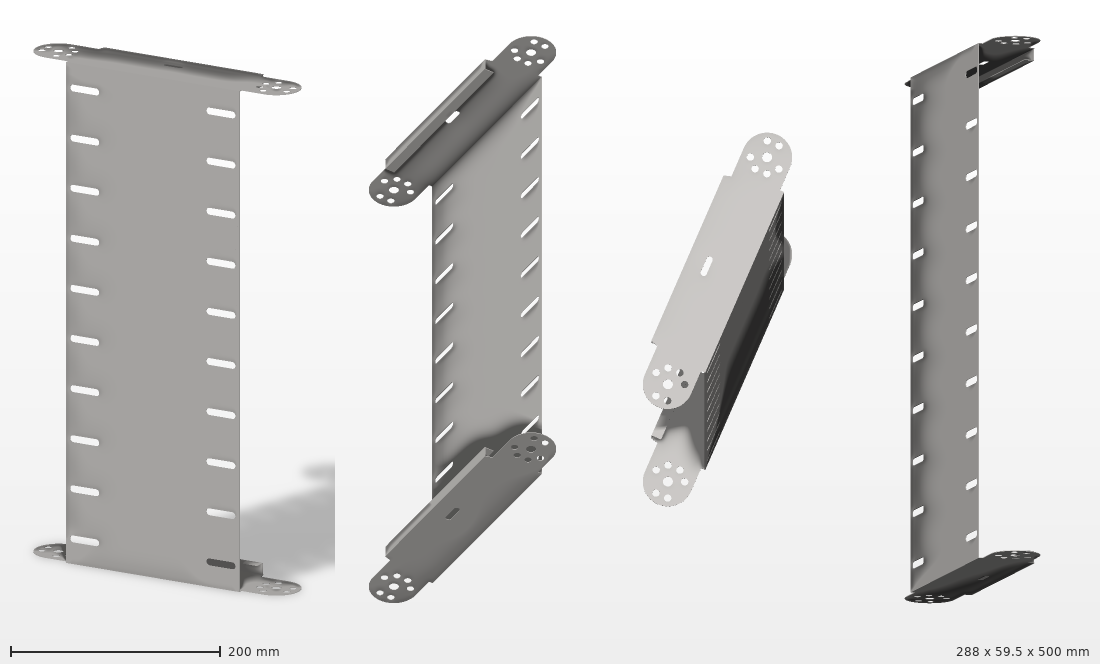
import cadquery as cq
import math

length_x = 288.0
depth = 59.5
height = 500.0
thickness = 0.6

plate_width = 191.0
slot_rows = 10
slot_pitch = height / slot_rows
slot_length = 32.0
slot_width = 7.0
slot_offset = 75.0

ear_radius = 24.0
ear_center_x = length_x / 2 - ear_radius
ear_inset = 4.25
ear_center_y = ear_inset + ear_radius
pivot_diameter = 9.5
small_diameter = 7.0
bolt_circle_radius = 16.0
hole_angles = (22.5, 67.5, 157.5)
center_slot_length = 20.0
center_slot_width = 6.0
center_slot_y = 39.5

tongue_base_width = 179.0
tongue_tip_width = 175.0
lip_width = 174.0
lip_height = 12.0
lip_return = 10.0


def block(width, y_min, y_max, z_min, z_max):
    """Box centred on X between the given Y and Z limits."""
    size_y = y_max - y_min
    size_z = z_max - z_min
    return (
        cq.Workplane("XY")
        .box(width, size_y, size_z, centered=(True, False, False))
        .translate((0, y_min, z_min))
    )


def make_plate():
    """Upright plate on the Y = 0 face with a column of slots near each side."""
    slot_points = [
        (side * slot_offset, (row + 0.5) * slot_pitch)
        for side in (-1, 1)
        for row in range(slot_rows)
    ]
    slots = (
        cq.Workplane("XZ")
        .pushPoints(slot_points)
        .slot2D(slot_length, slot_width)
        .extrude(-thickness)
    )
    return block(plate_width, 0, thickness, 0, height).cut(slots)


def ear_hole_points():
    """Small hole centres around both pivots, mirrored left to right."""
    points = []
    for side in (-1, 1):
        for angle in hole_angles:
            along = bolt_circle_radius * math.cos(math.radians(angle))
            across = bolt_circle_radius * math.sin(math.radians(angle))
            for sign in (-1, 1):
                points.append((side * (ear_center_x - along), ear_center_y + sign * across))
    return points


def make_tongue():
    """Part of the flange beyond the ears, narrowing slightly toward its free edge."""
    base_y = ear_center_y + ear_radius
    return (
        cq.Workplane("XY")
        .polyline([
            (-tongue_base_width / 2, ear_center_y),
            (tongue_base_width / 2, ear_center_y),
            (tongue_base_width / 2, base_y),
            (tongue_tip_width / 2, depth),
            (-tongue_tip_width / 2, depth),
            (-tongue_base_width / 2, base_y),
        ])
        .close()
        .extrude(thickness)
    )


def make_bottom_flange():
    """Flange with rounded ears, pivot holes, hole rings and a central slot."""
    ears = (
        cq.Workplane("XY")
        .center(0, ear_center_y)
        .slot2D(length_x, 2 * ear_radius)
        .extrude(thickness)
    )
    flange = (
        ears
        .union(block(plate_width, 0, ear_center_y, 0, thickness))
        .union(make_tongue())
    )
    pivots = (
        cq.Workplane("XY")
        .pushPoints([(-ear_center_x, ear_center_y), (ear_center_x, ear_center_y)])
        .circle(pivot_diameter / 2)
        .extrude(thickness)
    )
    small_holes = (
        cq.Workplane("XY")
        .pushPoints(ear_hole_points())
        .circle(small_diameter / 2)
        .extrude(thickness)
    )
    center_slot = (
        cq.Workplane("XY")
        .center(0, center_slot_y)
        .slot2D(center_slot_length, center_slot_width)
        .extrude(thickness)
    )
    return flange.cut(pivots).cut(small_holes).cut(center_slot)


def make_bottom_lip():
    """Lip rising from the flange edge and folded back toward the plate."""
    wall = block(lip_width, depth - thickness, depth, 0, lip_height)
    fold = block(lip_width, depth - lip_return, depth, lip_height - thickness, lip_height)
    return wall.union(fold)


bottom_end = make_bottom_flange().union(make_bottom_lip())
top_end = bottom_end.mirror("XY", (0, 0, height / 2))
result = make_plate().union(bottom_end).union(top_end)